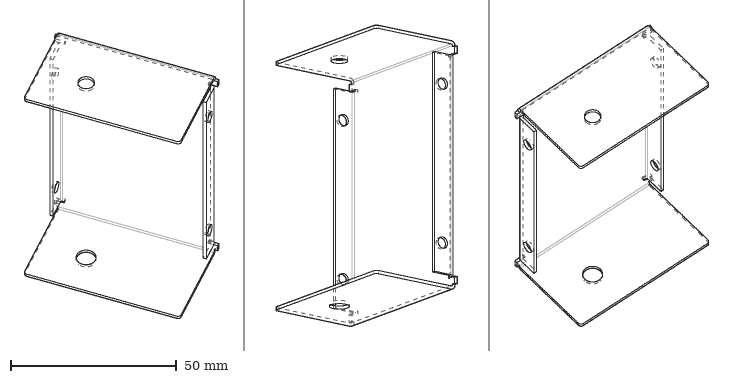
import cadquery as cq

height = 78.2
depth = 30.0
tab_span = 52.8

thickness = 1.0
inner_radius = 0.5
outer_radius = inner_radius + thickness

flange_width = 50.6
flange_corner_radius = 1.0
end_hole_x = -10.0
end_hole_from_front = 12.9
top_hole_diameter = 5.0
bottom_hole_diameter = 6.0

side_depth = 7.8
tab_outer_inset = 1.7
tab_inner_inset = 4.0
side_end_inset = 4.5
relief_depth = 2.0
side_hole_diameter = 3.5
side_hole_from_back = 4.7
side_hole_spacing = 50.05

side_length = height - 2 * side_end_inset
relief_span = flange_width - 2 * relief_depth


def bent_channel(span, leg, length):
    """Flat base with two rounded bends and equal legs toward -Y, running along Z."""
    outer = cq.Workplane("XY").box(span, leg, length).translate((0, -leg / 2, 0))
    inner = cq.Workplane("XY").box(span - 2 * thickness, leg, length)
    inner = inner.translate((0, -leg / 2 - thickness, 0))
    outer = outer.edges("|Z and >Y").fillet(outer_radius)
    inner = inner.edges("|Z and >Y").fillet(inner_radius)
    return outer.cut(inner)


def back_strip(width, strip_height):
    """Flat rectangle of sheet lying in the back plate."""
    return cq.Workplane("XY").box(width, thickness, strip_height).translate((0, -thickness / 2, 0))


def vertical_hole(diameter, start_z):
    """Cutter for one end flange."""
    cutter = cq.Workplane("XY").circle(diameter / 2).extrude(height / 2)
    return cutter.translate((end_hole_x, end_hole_from_front - depth, start_z))


end_channel = bent_channel(height, depth, flange_width).rotate((0, 0, 0), (0, 1, 0), 90)
end_channel = end_channel.edges("|Z and <Y").fillet(flange_corner_radius)
side_opening = cq.Workplane("XY").box(height, 2 * thickness, height - 2 * tab_inner_inset)
side_opening = side_opening.cut(cq.Workplane("XY").box(relief_span, 2 * thickness, height))
end_channel = end_channel.cut(side_opening)

side_channel = bent_channel(flange_width, side_depth, side_length)

tabs = back_strip(tab_span, height - 2 * tab_outer_inset)
tabs = tabs.cut(back_strip(tab_span, height - 2 * tab_inner_inset))

side_holes = (
    cq.Workplane("YZ")
    .pushPoints([(-side_hole_from_back, sign * side_hole_spacing / 2) for sign in (-1, 1)])
    .circle(side_hole_diameter / 2)
    .extrude(tab_span, both=True)
)

result = (
    end_channel
    .union(tabs)
    .union(side_channel)
    .cut(side_holes)
    .cut(vertical_hole(top_hole_diameter, 0))
    .cut(vertical_hole(bottom_hole_diameter, -height / 2))
)